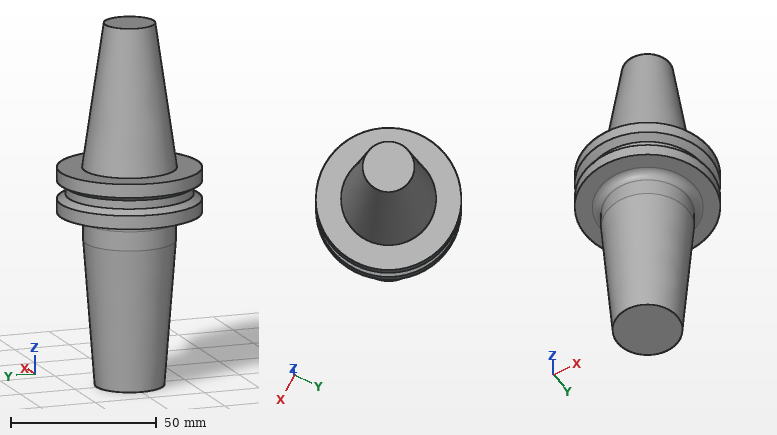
import cadquery as cq
import math

total_length = 127.8

shank_length = 51.0
shank_end_radius = 17.8 / 2
shank_base_radius = shank_end_radius + shank_length * 7 / 24 / 2

flange_radius = 50.0 / 2
flange_width = 15.8
rim_width = 4.7
groove_radius = 44.1 / 2
groove_wall_angle = 30.0
groove_wall_rise = (flange_radius - groove_radius) * math.tan(math.radians(groove_wall_angle))

nose_radius = 32.0 / 2
nose_fillet = 3.1
nose_cylinder_end = 51.1
nose_tip_radius = 24.0 / 2

flange_top = total_length - shank_length
flange_bottom = flange_top - flange_width
groove_top = flange_top - rim_width
groove_bottom = flange_bottom + rim_width

fillet_center_radius = nose_radius + nose_fillet
fillet_center_height = flange_bottom - nose_fillet
fillet_middle = (
    fillet_center_radius - nose_fillet * math.cos(math.pi / 4),
    fillet_center_height + nose_fillet * math.sin(math.pi / 4),
)

profile = (
    cq.Workplane("XZ")
    .moveTo(0, total_length)
    .lineTo(shank_end_radius, total_length)
    .lineTo(shank_base_radius, flange_top)
    .lineTo(flange_radius, flange_top)
    .lineTo(flange_radius, groove_top)
    .lineTo(groove_radius, groove_top - groove_wall_rise)
    .lineTo(groove_radius, groove_bottom + groove_wall_rise)
    .lineTo(flange_radius, groove_bottom)
    .lineTo(flange_radius, flange_bottom)
    .lineTo(fillet_center_radius, flange_bottom)
    .threePointArc(fillet_middle, (nose_radius, fillet_center_height))
    .lineTo(nose_radius, nose_cylinder_end)
    .lineTo(nose_tip_radius, 0)
    .lineTo(0, 0)
    .close()
)

result = profile.revolve(360, (0, 0, 0), (0, 1, 0))